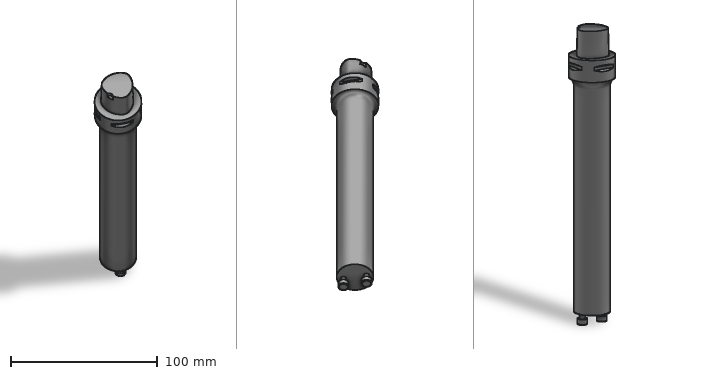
import cadquery as cq
import math

shank_length = 19.0
flange_thickness = 15.5
body_end_z = -180.0

flank_radius = 14.5
lobe_radius = 6.2
flat_reach = 10.45
shank_taper = math.degrees(math.atan(1 / 40))

flange_diameter = 32.0
body_diameter = 25.0
neck_radius = 6.0

slot_count = 4
slot_start_angle = 45.0
slot_centre_z = -6.0
slot_depth = 2.0
slot_floor_height = 2.2
slot_wall_flare = 30.0

notch_diameter = 5.0
notch_tilt = 10.0
notch_floor_below_tip = 4.0
notch_floor_depth = 2.0

screw_circle_radius = 8.0
screw_angles = (135.0, 315.0)
screw_neck_diameter = 4.0
screw_neck_length = 4.0
screw_head_diameter = 7.0
screw_head_height = 4.0
screw_head_chamfer = 0.5

flange_radius = flange_diameter / 2
body_radius = body_diameter / 2


def polar(radius, angle):
    """Point at a radius and an angle in degrees."""
    return (radius * math.cos(math.radians(angle)), radius * math.sin(math.radians(angle)))


def make_shank():
    """Tapered rounded triangle made of six tangent arcs, one lobe toward +Y."""
    flank_offset = flank_radius - flat_reach
    centre_distance = flank_radius - lobe_radius
    lobe_offset = math.sqrt(centre_distance ** 2 - 0.75 * flank_offset ** 2) - flank_offset / 2
    lobe_reach = lobe_offset + lobe_radius
    flank_half_angle = math.degrees(math.asin(lobe_offset * math.sin(math.radians(60)) / centre_distance))
    lobe_half_angle = 60 - flank_half_angle

    def tangent_point(lobe_angle, side):
        centre = polar(lobe_offset, lobe_angle)
        spoke = polar(lobe_radius, lobe_angle + side * lobe_half_angle)
        return (centre[0] + spoke[0], centre[1] + spoke[1])

    profile = cq.Workplane("XY").moveTo(*tangent_point(90, -1))
    for lobe_angle in (90, 210, 330):
        profile = profile.threePointArc(polar(lobe_reach, lobe_angle), tangent_point(lobe_angle, 1))
        profile = profile.threePointArc(
            polar(flat_reach, lobe_angle + 60), tangent_point(lobe_angle + 120, -1)
        )
    return profile.close().extrude(shank_length, taper=shank_taper)


def make_flange_and_body():
    """Flange that runs through a concave neck into the long cylindrical body."""
    neck_step = flange_radius - body_radius
    neck_sweep = math.acos(1 - neck_step / neck_radius)
    neck_end_z = -flange_thickness - neck_radius * math.sin(neck_sweep)
    neck_middle = (
        body_radius + neck_radius * (1 - math.cos(neck_sweep / 2)),
        neck_end_z + neck_radius * math.sin(neck_sweep / 2),
    )
    half_section = (
        cq.Workplane("XZ")
        .lineTo(flange_radius, 0)
        .lineTo(flange_radius, -flange_thickness)
        .threePointArc(neck_middle, (body_radius, neck_end_z))
        .lineTo(body_radius, body_end_z)
        .lineTo(0, body_end_z)
        .close()
    )
    return half_section.revolve(360, (0, 0), (0, 1))


def make_slot_cutter(angle):
    """Straight slot across the flange with a flat floor and flared walls."""
    floor_x = flange_radius - slot_depth
    outer_x = flange_radius + slot_depth
    outer_height = slot_floor_height + 2 * (outer_x - floor_x) * math.tan(math.radians(slot_wall_flare))
    cutter = (
        cq.Workplane("XZ")
        .polyline([
            (floor_x, slot_centre_z - slot_floor_height / 2),
            (outer_x, slot_centre_z - outer_height / 2),
            (outer_x, slot_centre_z + outer_height / 2),
            (floor_x, slot_centre_z + slot_floor_height / 2),
        ])
        .close()
        .extrude(flange_radius, both=True)
    )
    return cutter.rotate((0, 0, 0), (0, 0, 1), angle)


def make_notch_cutter():
    """Flat-bottomed cylinder that leans outward and breaks through the -Y flank and the tip."""
    tip_flat_reach = flat_reach - shank_length * math.tan(math.radians(shank_taper))
    axis_y = -tip_flat_reach + notch_floor_depth - notch_diameter / 2
    floor = cq.Plane(
        origin=(0, axis_y, shank_length - notch_floor_below_tip),
        xDir=(1, 0, 0),
        normal=(0, -math.sin(math.radians(notch_tilt)), math.cos(math.radians(notch_tilt))),
    )
    return cq.Workplane(floor).circle(notch_diameter / 2).extrude(2 * notch_floor_below_tip)


def make_screw(angle):
    """Screw neck and chamfered head hanging below the body."""
    x, y = polar(screw_circle_radius, angle)
    neck = (
        cq.Workplane("XY", origin=(x, y, body_end_z))
        .circle(screw_neck_diameter / 2)
        .extrude(-screw_neck_length)
    )
    head = (
        cq.Workplane("XY", origin=(x, y, body_end_z - screw_neck_length))
        .circle(screw_head_diameter / 2)
        .extrude(-screw_head_height)
        .faces("<Z").edges().chamfer(screw_head_chamfer)
    )
    return neck.union(head)


result = make_flange_and_body().union(make_shank())
for index in range(slot_count):
    result = result.cut(make_slot_cutter(slot_start_angle + index * 360 / slot_count))
result = result.cut(make_notch_cutter())
for screw_angle in screw_angles:
    result = result.union(make_screw(screw_angle))